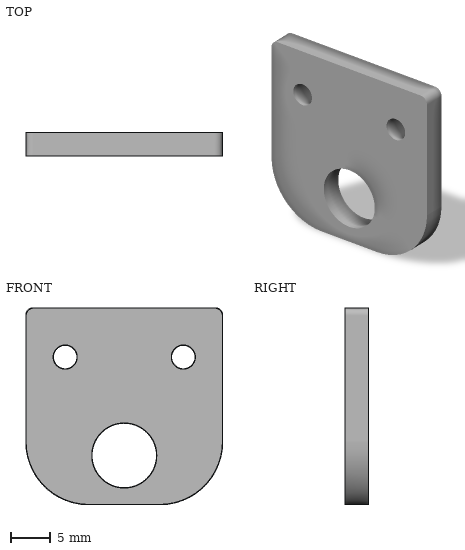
import cadquery as cq

width = 25.0
height = 25.0
thickness = 3.0
top_corner_radius = 1.0
bottom_corner_radius = 8.0

small_hole_diameter = 3.0
small_hole_spacing = 15.0
small_hole_from_top = 6.25
large_hole_diameter = 8.2
large_hole_from_bottom = 6.25


def make_plate():
    """Upright plate centred on the origin, with its four corners rounded."""
    plate = cq.Workplane("XY").box(width, thickness, height)
    plate = plate.edges("|Y and >Z").fillet(top_corner_radius)
    return plate.edges("|Y and <Z").fillet(bottom_corner_radius)


def hole_cutter(x, z, diameter):
    """Cylinder along Y that passes through the whole plate."""
    front_face = cq.Workplane("XZ", origin=(x, -thickness / 2, z))
    return front_face.circle(diameter / 2).extrude(-thickness)


result = make_plate()

small_hole_z = height / 2 - small_hole_from_top
for side in (-1, 1):
    result = result.cut(hole_cutter(side * small_hole_spacing / 2, small_hole_z, small_hole_diameter))

large_hole_z = -height / 2 + large_hole_from_bottom
result = result.cut(hole_cutter(0, large_hole_z, large_hole_diameter))